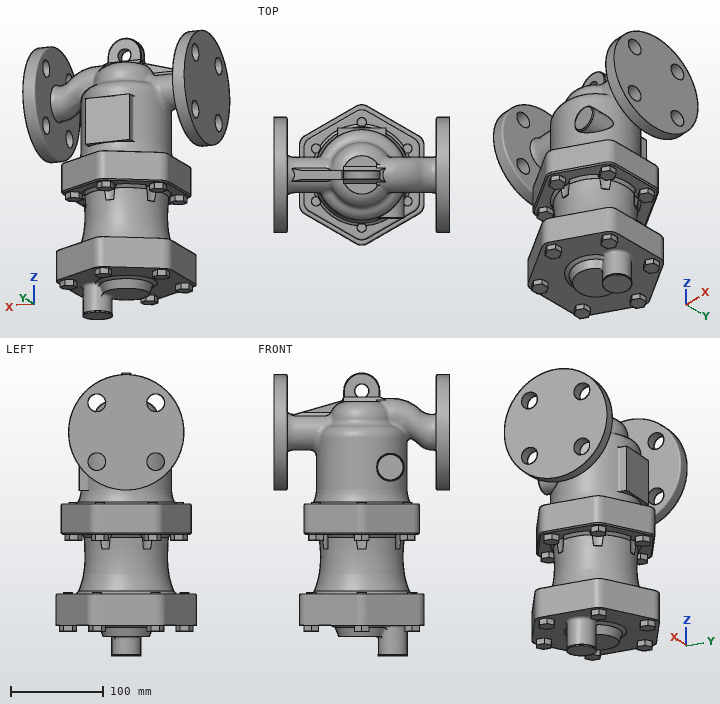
import cadquery as cq
import math

face_to_face = 190.0
flange_diameter = 125.0
flange_thickness = 14.5
flange_edge_fillet = 2.0
flange_bolt_circle = 90.0
flange_hole_diameter = 19.0
flange_hole_count = 4

pipe_radius = 19.25
inlet_flare_radius = 21.5
inlet_flare_length = 8.0
outlet_flare_radius = 20.5
outlet_flare_length = 4.5
outlet_rise = 17.3
outlet_start_x = 16.0
outlet_first_bend_radius = 40.0
outlet_bend_angle = math.radians(45)
outlet_bend_end_x = 76.0
inlet_root_fillet = 7.0
outlet_root_fillet = 4.0

body_radius = 98.0 / 2
body_bottom_z = -62.4
shoulder_radius = 14.0
shoulder_start_z = -6.2
dome_radius = 35.0
dome_start_z = 14.3
dome_top_z = 33.0
dome_flat_radius = 20.8
body_flare_radius = 52.0
body_flare_z = -75.2
body_flare_mid_share = 0.28

corner_radius = 12.0
upper_hex_flats = 125.0
upper_hex_top_z = -77.4
upper_hex_bottom_z = -110.4
lower_hex_points = 152.01
lower_hex_top_z = -174.8
lower_hex_bottom_z = -208.8
hex_top_fillet = 2.0
hex_bottom_chamfer = 1.5
body_foot_radius = 55.0

bolt_diameter = 10.0
bolt_end_height = 1.5
bolt_head_flats = 16.0
bolt_head_height = 6.6
upper_bolt_circle_radius = 57.0
lower_bolt_circle_radius = 63.0
bolt_pocket_radius = 13.0
pocket_floor_z = -126.2
joint_bolt_count = 6

neck_radius = 90.0 / 2
neck_top_radius = 46.0
neck_top_z = -113.9
neck_foot_radius = 49.0
neck_waist_radius = 46.2
neck_waist_z = -153.4
neck_flare_radius = 51.5
neck_flare_z = -171.9
neck_base_radius = 54.5

cover_root_radius = 33.7
cover_rim_radius = 28.8
cover_rim_z = -211.2
cover_tip_radius = 25.0
cover_tip_z = -221.0
drain_x = 33.7
drain_lip_diameter = 32.0
drain_pipe_diameter = 31.4
drain_lip_height = 1.7
drain_root_fillet = 3.0
overall_height = 305.94

eye_radius = 19.5
eye_hole_diameter = 15.0
eye_center_z = 44.6
eye_thickness = 10.0
eye_edge_chamfer = 0.8
eye_foot_top_z = 38.3
eye_foot_end_x = 29.7
eye_foot_spread = 4.0
rib_start_x = -75.3
rib_start_z = 18.5
rib_end_z = 34.0
rib_corner_size = 2.0
rib_foot_spread = 2.3
rib_foot_height = 3.5

plug_diameter = 30.0
plug_x = 30.9
plug_z = -37.8
plug_face_y = -47.2
plug_chamfer = 1.2
pad_width = 52.0
pad_face_y = 51.0
pad_bottom_z = -63.0
pad_top_z = -12.0
pad_root_fillet = 3.0

flange_inner_x = face_to_face / 2 - flange_thickness
eye_top_z = eye_center_z + eye_radius
drain_bottom_z = eye_top_z - overall_height
lower_corner_center = lower_hex_points / 2 - corner_radius
lower_hex_flats = 2 * (lower_corner_center * math.cos(math.pi / 6) + corner_radius)


def revolved(profile):
    """Turn a closed XZ profile about the Z axis."""
    return profile.close().revolve(360, (0, 0, 0), (0, 1, 0))


def line_flange(side):
    """Round flange with bolt holes, on the -X (side=-1) or +X (side=1) end."""
    disc = cq.Workplane("YZ").circle(flange_diameter / 2).extrude(flange_thickness)
    disc = disc.faces("<X").edges().fillet(flange_edge_fillet)
    first_angle = 180.0 / flange_hole_count
    holes = (
        cq.Workplane("YZ")
        .polarArray(flange_bolt_circle / 2, first_angle, 360, flange_hole_count)
        .circle(flange_hole_diameter / 2)
        .extrude(flange_thickness)
    )
    flange = disc.cut(holes).translate((flange_inner_x, 0, 0))
    return flange if side > 0 else flange.mirror("YZ")


def pipe_flare(side, length, root_radius):
    """Concave ring that widens a pipe where it meets its line flange."""
    growth = root_radius - pipe_radius
    flare_arc_radius = (length**2 + growth**2) / (2 * growth)
    small_x = flange_inner_x - length
    mid_x = small_x + length / 2
    mid_radius = pipe_radius + flare_arc_radius - math.sqrt(flare_arc_radius**2 - (length / 2) ** 2)
    ring = (
        cq.Workplane("XZ")
        .moveTo(small_x, 0)
        .lineTo(small_x, pipe_radius)
        .threePointArc((mid_x, mid_radius), (flange_inner_x, root_radius))
        .lineTo(flange_inner_x, 0)
        .close()
        .revolve(360, (0, 0, 0), (1, 0, 0))
    )
    return ring if side > 0 else ring.mirror("YZ")


def inlet_pipe():
    """Straight pipe from the -X flange into the body."""
    return cq.Workplane("YZ").workplane(offset=-flange_inner_x).circle(pipe_radius).extrude(flange_inner_x)


def outlet_pipe():
    """Swept S-bend that leaves the dome above the axis and drops to the +X flange."""
    bend_sum = outlet_rise / (1 - math.cos(outlet_bend_angle))
    bend_start_x = outlet_bend_end_x - bend_sum * math.sin(outlet_bend_angle)
    first_bend_run = outlet_first_bend_radius * math.sin(outlet_bend_angle)
    first_bend_drop = outlet_first_bend_radius * (1 - math.cos(outlet_bend_angle))
    bend_joint = (bend_start_x + first_bend_run, outlet_rise - first_bend_drop)
    path = (
        cq.Workplane("XZ")
        .moveTo(0, outlet_rise)
        .lineTo(bend_start_x, outlet_rise)
        .tangentArcPoint(bend_joint, relative=False)
        .tangentArcPoint((outlet_bend_end_x, 0), relative=False)
        .lineTo(flange_inner_x, 0)
    )
    section = cq.Workplane("YZ").center(0, outlet_rise).circle(pipe_radius)
    pipe = section.sweep(path, normal=cq.Vector(1, 0, 0))
    keep = cq.Workplane("YZ").workplane(offset=outlet_start_x)
    keep = keep.rect(face_to_face, face_to_face).extrude(face_to_face)
    return pipe.intersect(keep)


def upper_body():
    """Cylinder with rounded shoulder and domed crown."""
    shoulder_center_x = body_radius - shoulder_radius
    offset_x = dome_radius - shoulder_center_x
    drop = dome_start_z - shoulder_start_z
    blend_radius = (offset_x**2 + drop**2 - shoulder_radius**2) / (2 * (shoulder_radius - offset_x))
    reach_x = offset_x + blend_radius
    span = shoulder_radius + blend_radius
    blend_x = shoulder_center_x + shoulder_radius * reach_x / span
    blend_z = shoulder_start_z + shoulder_radius * drop / span
    flare_mid_radius = body_radius + body_flare_mid_share * (body_flare_radius - body_radius)
    flare_mid_z = (body_flare_z + body_bottom_z) / 2
    profile = (
        cq.Workplane("XZ")
        .moveTo(0, upper_hex_top_z)
        .lineTo(body_foot_radius, upper_hex_top_z)
        .lineTo(body_flare_radius, body_flare_z)
        .threePointArc((flare_mid_radius, flare_mid_z), (body_radius, body_bottom_z))
        .lineTo(body_radius, shoulder_start_z)
        .tangentArcPoint((blend_x, blend_z), relative=False)
        .tangentArcPoint((dome_radius, dome_start_z), relative=False)
        .tangentArcPoint((dome_flat_radius, dome_top_z), relative=False)
        .lineTo(0, dome_top_z)
    )
    return revolved(profile)


def hex_flange(flats, top_z, bottom_z):
    """Hexagonal joint flange with rounded corners, two of them on the Y axis."""
    across_points = flats / math.cos(math.pi / 6)
    return (
        cq.Workplane("XY")
        .workplane(offset=bottom_z)
        .transformed(rotate=(0, 0, 90))
        .polygon(6, across_points)
        .extrude(top_z - bottom_z)
        .edges("|Z")
        .fillet(corner_radius)
        .faces(">Z")
        .edges()
        .fillet(hex_top_fillet)
    )


def bolt_points(circle_radius):
    """Joint bolt pattern with one bolt behind each hexagon corner."""
    return cq.Workplane("XY").polarArray(circle_radius, 90, 360, joint_bolt_count, rotate=False)


def joint_bolts(circle_radius, top_z, bottom_z):
    """Bolt ends above the joint and hexagon heads below it."""
    ends = bolt_points(circle_radius).circle(bolt_diameter / 2).extrude(bolt_end_height)
    ends = ends.translate((0, 0, top_z))
    half_side = bolt_head_flats / 2 * math.tan(math.pi / 6)
    half_flats = bolt_head_flats / 2
    head_outline = [
        (half_flats, half_side),
        (0, 2 * half_side),
        (-half_flats, half_side),
        (-half_flats, -half_side),
        (0, -2 * half_side),
        (half_flats, -half_side),
    ]
    head = cq.Workplane("XY").polyline(head_outline).close().extrude(bolt_head_height)
    bolts = ends
    for index in range(joint_bolt_count):
        angle = math.pi / 2 + index * 2 * math.pi / joint_bolt_count
        x = circle_radius * math.cos(angle)
        y = circle_radius * math.sin(angle)
        bolts = bolts.add(head.translate((x, y, bottom_z - bolt_head_height)))
    return bolts.combine()


def neck():
    """Waisted neck with clearance pockets around the upper bolt heads."""
    profile = (
        cq.Workplane("XZ")
        .moveTo(0, upper_hex_bottom_z)
        .lineTo(neck_foot_radius, upper_hex_bottom_z)
        .lineTo(neck_top_radius, neck_top_z)
        .lineTo(neck_radius, pocket_floor_z)
        .tangentArcPoint((neck_waist_radius, neck_waist_z), relative=False)
        .tangentArcPoint((neck_flare_radius, neck_flare_z), relative=False)
        .lineTo(neck_base_radius, lower_hex_top_z)
        .lineTo(0, lower_hex_top_z)
    )
    pockets = (
        bolt_points(upper_bolt_circle_radius)
        .circle(bolt_pocket_radius)
        .extrude(upper_hex_bottom_z - pocket_floor_z)
        .translate((0, 0, pocket_floor_z))
    )
    return revolved(profile).cut(pockets)


def cover_boss():
    """Tapered boss below the lower joint flange."""
    profile = (
        cq.Workplane("XZ")
        .moveTo(0, lower_hex_bottom_z)
        .lineTo(cover_root_radius, lower_hex_bottom_z)
        .lineTo(cover_rim_radius, cover_rim_z)
        .lineTo(cover_tip_radius, cover_tip_z)
        .lineTo(0, cover_tip_z)
    )
    return revolved(profile)


def drain():
    """Eccentric drain pipe with a thin end lip."""
    base = cq.Workplane("XY").workplane(offset=drain_bottom_z).center(drain_x, 0)
    pipe = base.circle(drain_pipe_diameter / 2).extrude(lower_hex_bottom_z - drain_bottom_z)
    lip = base.circle(drain_lip_diameter / 2).extrude(drain_lip_height)
    return pipe.union(lip)


def mid_plate(outline):
    """Plate of the eye thickness, centred on the XZ plane."""
    return outline.extrude(eye_thickness / 2, both=True)


def lifting_eye():
    """Round-topped lifting eye with a drilled hole."""
    outline = (
        cq.Workplane("XZ")
        .moveTo(-eye_radius, dome_start_z)
        .lineTo(-eye_radius, eye_center_z)
        .threePointArc((0, eye_top_z), (eye_radius, eye_center_z))
        .lineTo(eye_radius, dome_start_z)
        .close()
    )
    plate = mid_plate(outline).faces("<Y or >Y").edges().chamfer(eye_edge_chamfer)
    hole = mid_plate(cq.Workplane("XZ").center(0, eye_center_z).circle(eye_hole_diameter / 2))
    return plate.cut(hole)


def eye_foot():
    """Foot that widens the eye on the crown and runs out along the outlet pipe."""
    top_half = eye_thickness / 2
    base_half = top_half + eye_foot_spread
    section = [
        (-base_half, dome_start_z),
        (-base_half, dome_top_z),
        (-top_half, eye_foot_top_z),
        (top_half, eye_foot_top_z),
        (base_half, dome_top_z),
        (base_half, dome_start_z),
    ]
    side = [
        (-eye_radius, dome_start_z),
        (-eye_radius, eye_foot_top_z),
        (eye_radius, eye_foot_top_z),
        (eye_foot_end_x, dome_top_z),
        (eye_foot_end_x, dome_start_z),
    ]
    length = cq.Workplane("YZ").polyline(section).close().extrude(eye_foot_end_x, both=True)
    return length.intersect(cq.Workplane("XZ").polyline(side).close().extrude(base_half, both=True))


def rib():
    """Sloping web from the inlet pipe to the lifting eye, flared where it meets the pipe."""
    outline = (
        cq.Workplane("XZ")
        .moveTo(rib_start_x, rib_start_z)
        .lineTo(-eye_radius - rib_corner_size, rib_end_z)
        .lineTo(-eye_radius, rib_end_z + 2 * rib_corner_size)
        .lineTo(-eye_radius, 0)
        .lineTo(rib_start_x, 0)
        .close()
    )
    top_half = eye_thickness / 2
    base_half = top_half + rib_foot_spread
    base_z = math.sqrt(pipe_radius**2 - base_half**2)
    foot_section = [
        (-base_half, 0),
        (-base_half, base_z),
        (-top_half, base_z + rib_foot_height),
        (top_half, base_z + rib_foot_height),
        (base_half, base_z),
        (base_half, 0),
    ]
    foot = cq.Workplane("YZ").polyline(foot_section).close().extrude(rib_start_x)
    wide_slab = outline.extrude(base_half, both=True)
    web_space = cq.Workplane("XY").box(face_to_face, eye_thickness, face_to_face)
    return wide_slab.intersect(web_space).union(wide_slab.intersect(foot))


def plug_boss():
    """Round boss facing -Y on the side of the body."""
    return (
        cq.Workplane("XZ")
        .center(plug_x, plug_z)
        .circle(plug_diameter / 2)
        .extrude(-plug_face_y)
        .faces("<Y")
        .edges()
        .chamfer(plug_chamfer)
    )


def name_plate_pad():
    """Flat pad on the +Y side of the body."""
    height = pad_top_z - pad_bottom_z
    pad = cq.Workplane("XY").box(pad_width, pad_face_y, height, centered=(True, False, False))
    return pad.translate((0, 0, pad_bottom_z))


def blend_pipe_root(shape, side, radius):
    """Round the curved seam where a pipe enters the body, on one X side."""
    curved = [edge for edge in shape.edges().vals() if edge.geomType() not in ("CIRCLE", "LINE")]
    seam = [edge for edge in curved if 0 < side * edge.Center().x < body_flare_radius]
    return shape.newObject(seam).fillet(radius)


def add_name_plate_pad(shape):
    """Join the pad to the body and round its two upright root corners."""
    joined = shape.union(name_plate_pad())
    half = pad_width / 2
    root_y = math.sqrt(body_radius**2 - half**2)
    corners = cq.selectors.BoxSelector(
        (-half - pad_root_fillet, root_y - pad_root_fillet, pad_bottom_z),
        (half + pad_root_fillet, root_y + pad_root_fillet, pad_top_z),
    )
    return joined.edges("|Z").edges(corners).fillet(pad_root_fillet)


def upper_casting():
    """Body with both pipes, line flanges, eye, rib, plug boss and name plate pad."""
    casting = upper_body().union(inlet_pipe()).union(outlet_pipe())
    casting = blend_pipe_root(casting, -1, inlet_root_fillet)
    casting = blend_pipe_root(casting, 1, outlet_root_fillet)
    casting = casting.union(pipe_flare(-1, inlet_flare_length, inlet_flare_radius))
    casting = casting.union(pipe_flare(1, outlet_flare_length, outlet_flare_radius))
    casting = casting.union(line_flange(-1)).union(line_flange(1))
    casting = casting.union(lifting_eye()).union(eye_foot()).union(rib())
    return add_name_plate_pad(casting.union(plug_boss()))


def upper_joint():
    """Upper hexagonal joint flange with its bolts."""
    flange = hex_flange(upper_hex_flats, upper_hex_top_z, upper_hex_bottom_z)
    flange = flange.faces("<Z").edges().chamfer(hex_bottom_chamfer)
    return flange.union(joint_bolts(upper_bolt_circle_radius, upper_hex_top_z, upper_hex_bottom_z))


def lower_joint():
    """Lower hexagonal joint flange with its bolts."""
    flange = hex_flange(lower_hex_flats, lower_hex_top_z, lower_hex_bottom_z)
    return flange.union(joint_bolts(lower_bolt_circle_radius, lower_hex_top_z, lower_hex_bottom_z))


def lower_cover():
    """Lower joint with the cover boss and the drain blended into both."""
    cover = lower_joint().union(cover_boss()).union(drain())
    reach = drain_lip_diameter / 2
    drain_root = cq.selectors.BoxSelector(
        (drain_x - reach, -reach, cover_tip_z - drain_root_fillet),
        (drain_x + reach, reach, lower_hex_bottom_z + drain_root_fillet),
        boundingbox=True,
    )
    return cover.edges(drain_root).fillet(drain_root_fillet)


result = upper_casting().union(upper_joint()).union(neck()).union(lower_cover())